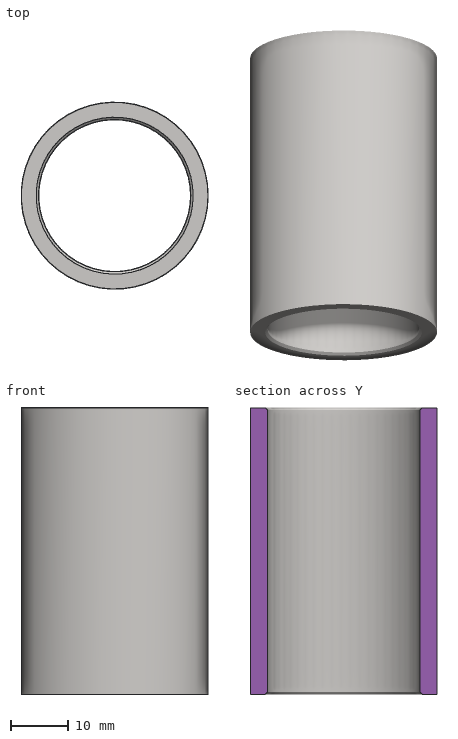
import cadquery as cq

outer_diameter = 32.6
bore_diameter = 26.45
length = 50.0

bore_chamfer = 0.45


def make_sleeve():
    """Plain tube standing on the XY plane, its axis along Z."""
    outer_radius = outer_diameter / 2
    bore_radius = bore_diameter / 2
    return cq.Workplane("XY").circle(outer_radius).circle(bore_radius).extrude(length)


def chamfer_bore_mouths(sleeve):
    """Break the inner edge at both ends of the through bore."""
    bore_edges = cq.selectors.RadiusNthSelector(0)
    return sleeve.faces("<Z or >Z").edges(bore_edges).chamfer(bore_chamfer)


result = chamfer_bore_mouths(make_sleeve())